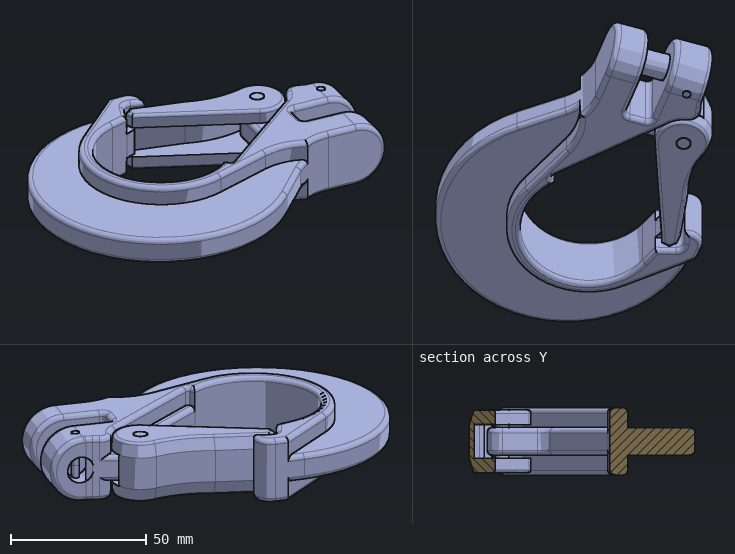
import cadquery as cq
import math

HALF_THICK = 12.53
FLANGE_HALF = 5.14
EDGE_R = 1.9

RIM_CENTER = (0, 0)
RIM_R = 48.8
BOWL_CENTER = (-6.8, 4.1)
BOWL_R = 25.2
WALL_R = BOWL_R + 5.0
WALL_START_ANGLE = 20.3
WALL_END_ANGLE = 225
NECK_WALL_LOW = (13.3, 37.1)
NECK_WALL_MID = (11.9, 44.4)
NECK_WALL_TOP = (17.1, 59.7)

LUG_LEFT, LUG_RIGHT, LUG_TOP = -26.8, 11.2, 88.2
LUG_AXIS_Y = LUG_TOP - HALF_THICK
LUG_BEND_Y = 73.7
LUG_BEND_R = 9.6
SLOT_X, SLOT_WIDTH, SLOT_BOTTOM, SLOT_CORNER_R = -6.8, 10.1, 59.9, 2.0
NECK_R = 20.0
SHOULDER_ANGLE = 48.4

NOSE_SIDE = (-49.3, 8.6)
NOSE_TIP = (-41.0, 14.4)
SEAT_CORNER = (-43.0, 6.5)
SEAT_LIP = (-33.1, 3.2)
SEAT_CORNER_R = 3.0
SEAT_RIB = [(-38.3, 3.4), (-37.8, 8.5), (-34.9, 7.3), SEAT_LIP]

LATCH_AXIS = (LUG_LEFT, 53.8)
DIAGONAL_ANGLE = 41
TONGUE_BOTTOM = 47.4
TONGUE_CORNER_R = 6.2
TONGUE_END_R = 5.5
TONGUE_END_CENTER = (LUG_LEFT, TONGUE_BOTTOM + TONGUE_END_R)
POCKET_OFFSET = 3.3
POCKET_TOP_ANGLE = 78
POCKET_SHOULDER_R = 4.4
POCKET_SHOULDER_REACH = 11.2
POCKET_END_R = 1.2

LATCH_HALF = 11.6
LATCH_INNER_HALF = 6.2
LATCH_BEVEL = 1.6
LATCH_WALL = 2.0
LATCH_EDGE_R = 1.2
LATCH_HEAD_R = 10.7
LATCH_BACK_TIP = (-41.4, 7.8)
LATCH_TIP_END = (-38.6, 5.3)
LATCH_BACK_LOW = (-37.4, 28.2)
LATCH_BACK_MID = (-35.5, 41.4)
LATCH_BACK_TOP_ANGLE = 196
LATCH_BACK_END_ANGLE = 115
LATCH_TIP_Y = 6.2
LATCH_EDGE_ANGLE = -22.2

LOAD_PIN_D = 10.0
LOAD_PIN_Y = 76.8
LOAD_PIN_END_WALL = 4.1
LOCK_PIN_D = 3.0
LOCK_PIN_X = -20.1
LOCK_PIN_HALF = 12.5
LATCH_PIN_D = 5.0
LATCH_HOLE_D = 5.3

FAR = 82.2
TOL = 0.01


def polar(center, radius, degrees):
    angle = math.radians(degrees)
    return (center[0] + radius * math.cos(angle), center[1] + radius * math.sin(angle))


def along(point, direction, distance):
    return (point[0] + direction[0] * distance, point[1] + direction[1] * distance)


def unit(degrees):
    return polar((0, 0), 1, degrees)


def touch_point(point, center, radius):
    """Where the tangent from a point touches a circle, counterclockwise of the point."""
    dx, dy = point[0] - center[0], point[1] - center[1]
    angle = math.atan2(dy, dx) + math.acos(radius / math.hypot(dx, dy))
    return polar(center, radius, math.degrees(angle))


def upright_edge_at(x, y):
    return cq.selectors.NearestToPointSelector((x, y, 0))


def slab(half_height):
    return cq.Workplane("XY").box(4 * FAR, 4 * FAR, 2 * half_height)


def cylinder_along_z(center, diameter, half_length):
    return cq.Workplane("XY").center(*center).circle(diameter / 2).extrude(half_length, both=True)


DIAGONAL_START = polar(BOWL_CENTER, BOWL_R, DIAGONAL_ANGLE)
DIAGONAL_DIR = unit(DIAGONAL_ANGLE + 90)
DIAGONAL_NORMAL = unit(DIAGONAL_ANGLE)


def hook_blank():
    """Full outline of the hook at full thickness, before any step is cut."""
    shoulder = polar(RIM_CENTER, RIM_R, SHOULDER_ANGLE)
    shoulder_dir = unit(SHOULDER_ANGLE + 90)
    corner = along(shoulder, shoulder_dir, (LUG_RIGHT - shoulder[0]) / shoulder_dir[0])
    neck_tangent = NECK_R * math.tan(math.radians(SHOULDER_ANGLE / 2))
    neck_top = (LUG_RIGHT, corner[1] + neck_tangent)
    neck_center = (LUG_RIGHT + NECK_R, neck_top[1])
    neck_mid = polar(neck_center, NECK_R, 180 + SHOULDER_ANGLE / 2)
    neck_low = along(corner, shoulder_dir, -neck_tangent)

    tongue_turn = 90 - DIAGONAL_ANGLE
    tongue_corner = along(
        DIAGONAL_START, DIAGONAL_DIR, (TONGUE_BOTTOM - DIAGONAL_START[1]) / DIAGONAL_DIR[1]
    )
    tongue_tangent = TONGUE_CORNER_R * math.tan(math.radians(tongue_turn / 2))
    tongue_arc_start = along(tongue_corner, DIAGONAL_DIR, -tongue_tangent)
    tongue_arc_end = (tongue_corner[0] - tongue_tangent, TONGUE_BOTTOM)
    tongue_arc_center = (tongue_arc_end[0], TONGUE_BOTTOM - TONGUE_CORNER_R)
    tongue_arc_mid = polar(tongue_arc_center, TONGUE_CORNER_R, 90 - tongue_turn / 2)
    tongue_left = touch_point((LUG_LEFT, LUG_BEND_Y), TONGUE_END_CENTER, TONGUE_END_R)

    outline = (
        cq.Workplane("XY")
        .moveTo(LUG_LEFT, LUG_TOP)
        .lineTo(LUG_RIGHT, LUG_TOP)
        .lineTo(*neck_top)
        .threePointArc(neck_mid, neck_low)
        .lineTo(*shoulder)
        .threePointArc(polar(RIM_CENTER, RIM_R, -60), touch_point(NOSE_SIDE, RIM_CENTER, RIM_R))
        .lineTo(*NOSE_SIDE)
        .tangentArcPoint(NOSE_TIP, relative=False)
        .lineTo(*SEAT_CORNER)
        .lineTo(*SEAT_LIP)
        .lineTo(*touch_point(SEAT_LIP, BOWL_CENTER, BOWL_R))
        .threePointArc(polar(BOWL_CENTER, BOWL_R, -60), DIAGONAL_START)
        .lineTo(*tongue_arc_start)
        .threePointArc(tongue_arc_mid, tongue_arc_end)
        .lineTo(TONGUE_END_CENTER[0], TONGUE_BOTTOM)
        .threePointArc(polar(TONGUE_END_CENTER, TONGUE_END_R, 220), tongue_left)
        .lineTo(LUG_LEFT, LUG_BEND_Y)
        .close()
    )
    blank = outline.extrude(HALF_THICK, both=True)
    blank = blank.edges(upright_edge_at(*SEAT_CORNER)).fillet(SEAT_CORNER_R)
    return blank.edges(upright_edge_at(LUG_LEFT, LUG_BEND_Y)).fillet(LUG_BEND_R)


def rim_area():
    """Everything outside the heavy section on the rim side."""
    wall_end = polar(BOWL_CENTER, WALL_R, WALL_END_ANGLE)
    return (
        cq.Workplane("XY")
        .moveTo(*NECK_WALL_TOP)
        .threePointArc(NECK_WALL_MID, NECK_WALL_LOW)
        .lineTo(*polar(BOWL_CENTER, WALL_R, WALL_START_ANGLE))
        .threePointArc(polar(BOWL_CENTER, WALL_R, -60), wall_end)
        .lineTo(*along(wall_end, unit(WALL_END_ANGLE - 90), FAR / 2))
        .lineTo(-FAR, -FAR)
        .lineTo(FAR, -FAR)
        .lineTo(FAR, NECK_WALL_TOP[1])
        .close()
        .extrude(FAR, both=True)
    )


def latch_pocket_area():
    """Everything outside the heavy section on the latch side."""
    wall_low = along(DIAGONAL_START, DIAGONAL_NORMAL, POCKET_OFFSET)
    clearance_r = (wall_low[0] - LATCH_AXIS[0]) * DIAGONAL_NORMAL[0] + (
        wall_low[1] - LATCH_AXIS[1]
    ) * DIAGONAL_NORMAL[1]
    arc_end = polar(LATCH_AXIS, clearance_r, POCKET_TOP_ANGLE)
    arc_mid_angle = (DIAGONAL_ANGLE + POCKET_TOP_ANGLE) / 2
    top_left = along(arc_end, unit(POCKET_TOP_ANGLE + 90), FAR / 4)
    return (
        cq.Workplane("XY")
        .moveTo(*along(wall_low, DIAGONAL_NORMAL, -FAR / 4))
        .lineTo(*wall_low)
        .lineTo(*polar(LATCH_AXIS, clearance_r, DIAGONAL_ANGLE))
        .threePointArc(polar(LATCH_AXIS, clearance_r, arc_mid_angle), arc_end)
        .lineTo(*top_left)
        .lineTo(top_left[0], TONGUE_BOTTOM)
        .close()
        .extrude(FAR, both=True)
    )


def lug_end_and_slot():
    """Material removed to round the lug ends and to part the two lugs."""
    length = LUG_TOP - LUG_AXIS_Y + 1.4
    beyond_axis = cq.Workplane("XY").box(FAR, length, FAR, centered=(True, False, True))
    round_end = cq.Workplane("YZ").circle(HALF_THICK).extrude(FAR, both=True)
    lug_round = beyond_axis.cut(round_end).translate((0, LUG_AXIS_Y, 0))
    slot = (
        cq.Workplane("XY")
        .box(SLOT_WIDTH, FAR, FAR, centered=(True, False, True))
        .edges("|Z")
        .fillet(SLOT_CORNER_R)
        .translate((SLOT_X, SLOT_BOTTOM, 0))
    )
    return lug_round.union(slot)


def is_flat_at(edge, height):
    return edge.BoundingBox().zlen < TOL and abs(abs(edge.Center().z) - height) < TOL


def is_lug_seam(edge):
    return edge.geomType() == "LINE" and abs(edge.Center().y - LUG_AXIS_Y) < TOL


def is_lug_end_arc(edge):
    return edge.geomType() == "CIRCLE" and edge.BoundingBox().xlen < TOL


def heavy_section(blank):
    """Thick band along the bowl, neck and lugs, with rounded outer edges."""
    block = blank.cut(rim_area()).cut(latch_pocket_area())
    arc_end = polar(LATCH_AXIS, POCKET_SHOULDER_REACH, POCKET_TOP_ANGLE)
    shoulder = along(arc_end, unit(POCKET_TOP_ANGLE + 90), POCKET_SHOULDER_R)
    block = block.edges("|Z").edges(upright_edge_at(*shoulder)).fillet(POCKET_SHOULDER_R)
    pocket_end = along(DIAGONAL_START, DIAGONAL_NORMAL, POCKET_OFFSET)
    block = block.edges("|Z").edges(upright_edge_at(*pocket_end)).fillet(POCKET_END_R)
    block = block.cut(lug_end_and_slot())
    rounded = block.edges().filter(
        lambda edge: is_lug_end_arc(edge) or (is_flat_at(edge, HALF_THICK) and not is_lug_seam(edge))
    )
    return rounded.fillet(EDGE_R)


def thin_section(blank):
    """Rim flange and latch tongue, ending below the rounded lug ends."""
    plate = blank.intersect(slab(FLANGE_HALF)).faces("|Z").edges().fillet(EDGE_R)
    below_lugs = slab(HALF_THICK).translate((0, LUG_AXIS_Y - 2 * FAR, 0))
    return plate.intersect(below_lugs).cut(lug_end_and_slot())


def load_pin_body(start_x):
    """Cylinder across the lugs from start_x to the blind end of the pin hole."""
    length = LUG_RIGHT - LOAD_PIN_END_WALL - start_x
    plane = cq.Workplane("YZ", origin=(start_x, LOAD_PIN_Y, 0))
    return plane.circle(LOAD_PIN_D / 2).extrude(length)


def make_hook():
    blank = hook_blank()
    seat_rib = cq.Workplane("XY").polyline(SEAT_RIB).close().extrude(FLANGE_HALF, both=True)
    return (
        thin_section(blank)
        .union(heavy_section(blank))
        .union(seat_rib)
        .cut(load_pin_body(LUG_LEFT))
        .cut(cylinder_along_z((LOCK_PIN_X, LOAD_PIN_Y), LOCK_PIN_D, FAR))
        .cut(cylinder_along_z(LATCH_AXIS, LATCH_HOLE_D, FAR))
    )


def latch_outline(z, inset):
    """Side profile of the latch at height z, with its back moved inwards by inset."""
    center = (LATCH_AXIS[0] + inset / 2, LATCH_AXIS[1])
    radius = LATCH_HEAD_R - inset / 2
    edge_top = polar(center, radius, LATCH_EDGE_ANGLE)
    edge_dir = unit(LATCH_EDGE_ANGLE - 90)
    inner_tip = along(edge_top, edge_dir, (LATCH_TIP_Y - edge_top[1]) / edge_dir[1])
    return (
        cq.Workplane("XY", origin=(0, 0, z))
        .moveTo(*along(LATCH_BACK_TIP, (1, 0), inset))
        .lineTo(*along(LATCH_BACK_LOW, (1, 0), inset))
        .threePointArc(
            along(LATCH_BACK_MID, (1, 0), inset), polar(center, radius, LATCH_BACK_TOP_ANGLE)
        )
        .threePointArc(polar(center, radius, 90), edge_top)
        .lineTo(*inner_tip)
        .lineTo(*along(LATCH_TIP_END, (1, 0), inset / 2))
        .close()
    )


def latch_cheek():
    """Upper side plate, sloping in at the back and rounded on its outer face."""
    profiles = [
        latch_outline(LATCH_INNER_HALF, 0).val(),
        latch_outline(LATCH_HALF, LATCH_BEVEL).val(),
    ]
    cheek = cq.Workplane(cq.Solid.makeLoft(profiles, True))
    return cheek.faces(">Z").edges().fillet(LATCH_EDGE_R)


def latch_opening():
    """Space between the side plates, open towards the bowl and at the top of the head."""
    inner_r = LATCH_HEAD_R - LATCH_WALL
    return (
        cq.Workplane("XY")
        .moveTo(LATCH_BACK_TIP[0] + LATCH_WALL, 0)
        .lineTo(*along(LATCH_BACK_TIP, (1, 0), LATCH_WALL))
        .lineTo(*along(LATCH_BACK_LOW, (1, 0), LATCH_WALL))
        .threePointArc(
            along(LATCH_BACK_MID, (1, 0), LATCH_WALL),
            polar(LATCH_AXIS, inner_r, LATCH_BACK_TOP_ANGLE),
        )
        .threePointArc(
            polar(LATCH_AXIS, inner_r, (LATCH_BACK_TOP_ANGLE + LATCH_BACK_END_ANGLE) / 2),
            polar(LATCH_AXIS, inner_r, LATCH_BACK_END_ANGLE),
        )
        .lineTo(*polar(LATCH_AXIS, 2 * LATCH_HEAD_R, LATCH_BACK_END_ANGLE))
        .lineTo(0, LUG_AXIS_Y)
        .lineTo(0, 0)
        .close()
        .extrude(LATCH_INNER_HALF, both=True)
    )


def make_latch():
    back = latch_outline(-LATCH_INNER_HALF, 0).extrude(2 * LATCH_INNER_HALF).cut(latch_opening())
    cheek = latch_cheek()
    latch = back.union(cheek).union(cheek.mirror("XY"))
    return latch.cut(cylinder_along_z(LATCH_AXIS, LATCH_HOLE_D, FAR))


def make_load_pin():
    """Pin across the slot, held in its blind hole by the lock pin at its open end."""
    return load_pin_body(LOCK_PIN_X + LOCK_PIN_D / 2)


def make_lock_pin():
    return cylinder_along_z((LOCK_PIN_X, LOAD_PIN_Y), LOCK_PIN_D, LOCK_PIN_HALF)


def make_latch_pin():
    return cylinder_along_z(LATCH_AXIS, LATCH_PIN_D, LATCH_HALF)


hook = make_hook()
latch = make_latch()
load_pin = make_load_pin()
lock_pin = make_lock_pin()
latch_pin = make_latch_pin()
result = cq.Compound.makeCompound(
    [
        *hook.solids().vals(),
        *latch.solids().vals(),
        *load_pin.solids().vals(),
        *lock_pin.solids().vals(),
        *latch_pin.solids().vals(),
    ]
)